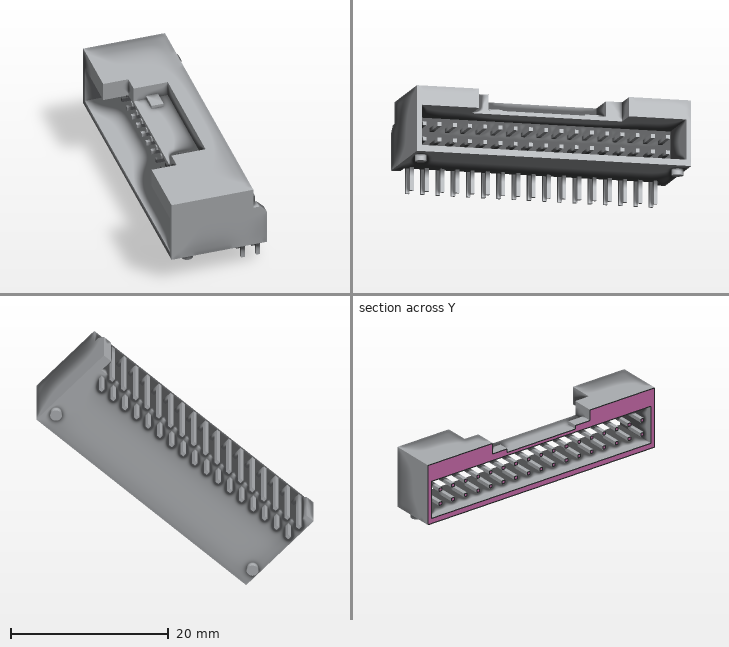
import cadquery as cq


housing_length = 36.0
housing_depth = 10.9
housing_height = 8.5

overall_depth = 12.7
ear_width = 1.25
ear_height = 5.7
ear_chamfer = 1.0

cavity_length = 34.7
cavity_bottom = 0.8
cavity_top = 6.0
cavity_depth = 7.7

notch_length = 19.7
notch_depth = 3.35
recess_length = 15.4
recess_back = 7.9
recess_floor = 6.5

latch_length = 2.3
latch_front = 5.0
latch_width = 1.6
latch_height = 0.5

row_count = 2
pin_count = 17
pin_pitch = 2.0
pin_size = 0.5
pin_tip = 3.8
pin_tail_length = 3.0
lower_pin_height = 2.45
lower_tail_depth = 10.1

peg_diameter = 1.5
peg_height = 0.8
peg_inset = 1.15
peg_depth = 2.45


def block(x_range, y_range, z_range):
    """Axis-aligned box given by its limits along X, Y and Z."""
    x0, x1 = x_range
    y0, y1 = y_range
    z0, z1 = z_range
    return cq.Workplane("XY").box(x1 - x0, y1 - y0, z1 - z0, centered=False).translate((x0, y0, z0))


def centred(length):
    """X limits of a feature centred on the part."""
    return (-length / 2, length / 2)


def make_housing():
    shell = block(centred(housing_length), (0, housing_depth), (0, housing_height))
    cavity = block(centred(cavity_length), (0, cavity_depth), (cavity_bottom, cavity_top))
    notch = block(centred(notch_length), (0, notch_depth), (cavity_top, housing_height))
    recess = block(centred(recess_length), (notch_depth, recess_back), (recess_floor, housing_height))
    return shell.cut(cavity).cut(notch).cut(recess)


def make_ear(side):
    """Chamfered ear behind the housing; side is -1 for the -X end and 1 for the +X end."""
    centre_x = side * (housing_length - ear_width) / 2
    limits_x = (centre_x - ear_width / 2, centre_x + ear_width / 2)
    ear = block(limits_x, (housing_depth, overall_depth), (0, ear_height))
    return ear.edges(">Y and >Z").chamfer(ear_chamfer)


def make_latch(side):
    centre_x = side * (recess_length - latch_length) / 2
    limits_x = (centre_x - latch_length / 2, centre_x + latch_length / 2)
    limits_y = (latch_front, latch_front + latch_width)
    return block(limits_x, limits_y, (recess_floor, recess_floor + latch_height))


def make_peg(side):
    centre_x = side * (housing_length / 2 - peg_inset)
    return cq.Workplane("XY").center(centre_x, peg_depth).circle(peg_diameter / 2).extrude(-peg_height)


def make_pin(centre_x, height, tail_depth):
    """Square pin running back from its tip and bent down into a solder tail."""
    half = pin_size / 2
    limits_x = (centre_x - half, centre_x + half)
    contact = block(limits_x, (pin_tip, tail_depth + half), (height - half, height + half))
    tail = block(limits_x, (tail_depth - half, tail_depth + half), (-pin_tail_length, height + half))
    return contact.union(tail)


result = make_housing()

for end in (-1, 1):
    result = result.union(make_ear(end)).union(make_latch(end)).union(make_peg(end))

for column in range(pin_count):
    pin_x = (column - (pin_count - 1) / 2) * pin_pitch
    for row in range(row_count):
        pin_height = lower_pin_height + row * pin_pitch
        tail_position = lower_tail_depth + row * pin_pitch
        result = result.union(make_pin(pin_x, pin_height, tail_position))